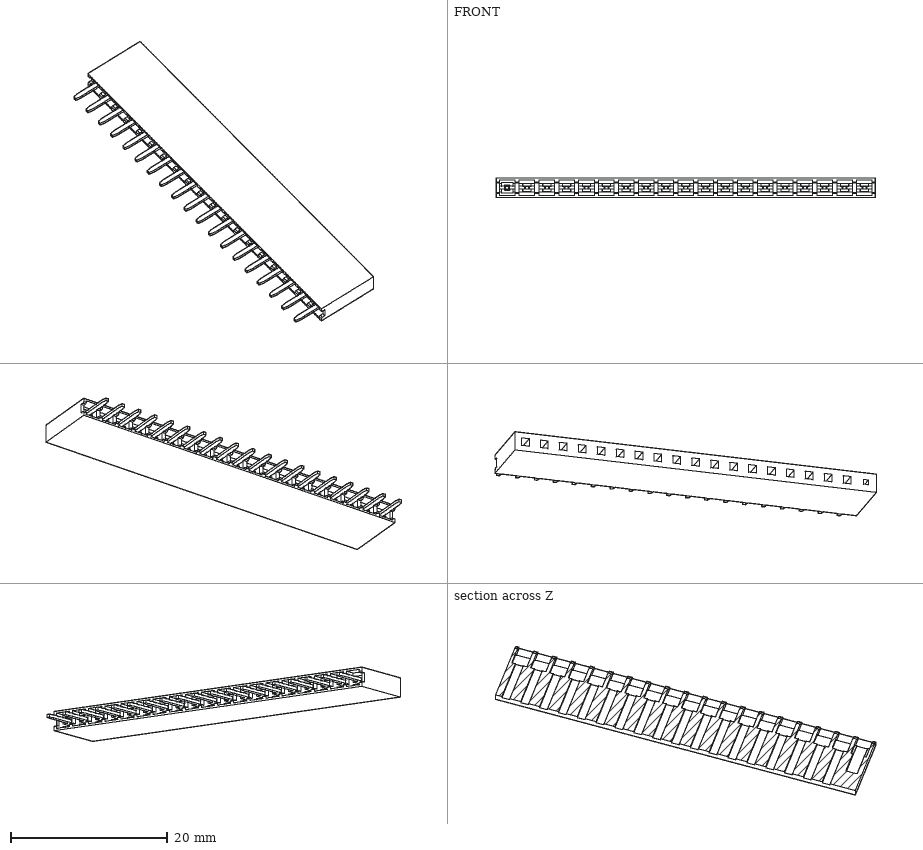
import cadquery as cq

LENGTH = 48.5
HEIGHT = 2.5
OVERALL_DEPTH = 11.7
PIN_REACH = 3.2
BODY_DEPTH = OVERALL_DEPTH - PIN_REACH

PIN_COUNT = 19
ROW_LENGTH = 45.7
PITCH = ROW_LENGTH / (PIN_COUNT - 1)

GROOVE_DEPTH = 0.6
GROOVE_WIDTH = 1.2
GROOVE_MOUTH_WIDTH = 1.5
GROOVE_BEVEL_DEPTH = 0.2

POCKET_SIZE = 2.0
POCKET_DEPTH = 1.45
SEAT_HEIGHT = 1.05
SEAT_DEPTH = 2.9
SOCKET_SIZE = 1.0

FIRST_CHAMBER_WIDTH = 1.45
FIRST_CHAMBER_HEIGHT = 1.3
FIRST_CHAMBER_DEPTH = 5.8
FIRST_SOCKET_SIZE = 0.65

CONTACT_THICKNESS = 0.4
PIN_WIDTH = 0.65
TIP_WIDTH = 0.4
TIP_LENGTH = 0.7


def block(x, width, height, y_start, y_end):
    """Box centred on x and on z = 0, running from y_start to y_end."""
    depth = y_end - y_start
    return cq.Workplane("XY").box(width, depth, height).translate((x, y_start + depth / 2, 0))


def groove():
    half_mouth = GROOVE_MOUTH_WIDTH / 2
    half_width = GROOVE_WIDTH / 2
    outline = [
        (0, -half_mouth),
        (GROOVE_BEVEL_DEPTH, -half_width),
        (GROOVE_DEPTH, -half_width),
        (GROOVE_DEPTH, half_width),
        (GROOVE_BEVEL_DEPTH, half_width),
        (0, half_mouth),
    ]
    return cq.Workplane("YZ").polyline(outline).close().extrude(LENGTH / 2, both=True)


def cavity(x, socket_size):
    """Square pocket, full-width seat for the contact plate and square hole to the socket side."""
    pocket = block(x, POCKET_SIZE, POCKET_SIZE, 0, POCKET_DEPTH)
    seat = block(x, POCKET_SIZE, SEAT_HEIGHT, 0, SEAT_DEPTH)
    socket = block(x, socket_size, socket_size, 0, BODY_DEPTH)
    return pocket.union(seat).union(socket)


def first_chamber(x):
    return block(x, FIRST_CHAMBER_WIDTH, FIRST_CHAMBER_HEIGHT, 0, FIRST_CHAMBER_DEPTH)


def contact(x):
    plate = block(x, POCKET_SIZE, CONTACT_THICKNESS, POCKET_DEPTH, SEAT_DEPTH)
    taper_start = TIP_LENGTH - PIN_REACH
    outline = [
        (x - PIN_WIDTH / 2, POCKET_DEPTH),
        (x - PIN_WIDTH / 2, taper_start),
        (x - TIP_WIDTH / 2, -PIN_REACH),
        (x + TIP_WIDTH / 2, -PIN_REACH),
        (x + PIN_WIDTH / 2, taper_start),
        (x + PIN_WIDTH / 2, POCKET_DEPTH),
    ]
    pin = cq.Workplane("XY").polyline(outline).close().extrude(CONTACT_THICKNESS / 2, both=True)
    return plate.union(pin)


pin_positions = [index * PITCH - ROW_LENGTH / 2 for index in range(PIN_COUNT)]
first_x = pin_positions[0]

housing = block(0, LENGTH, HEIGHT, 0, BODY_DEPTH).cut(groove())
housing = housing.cut(cavity(first_x, FIRST_SOCKET_SIZE)).cut(first_chamber(first_x))
for x in pin_positions[1:]:
    housing = housing.cut(cavity(x, SOCKET_SIZE))

result = housing
for x in pin_positions:
    result = result.union(contact(x))